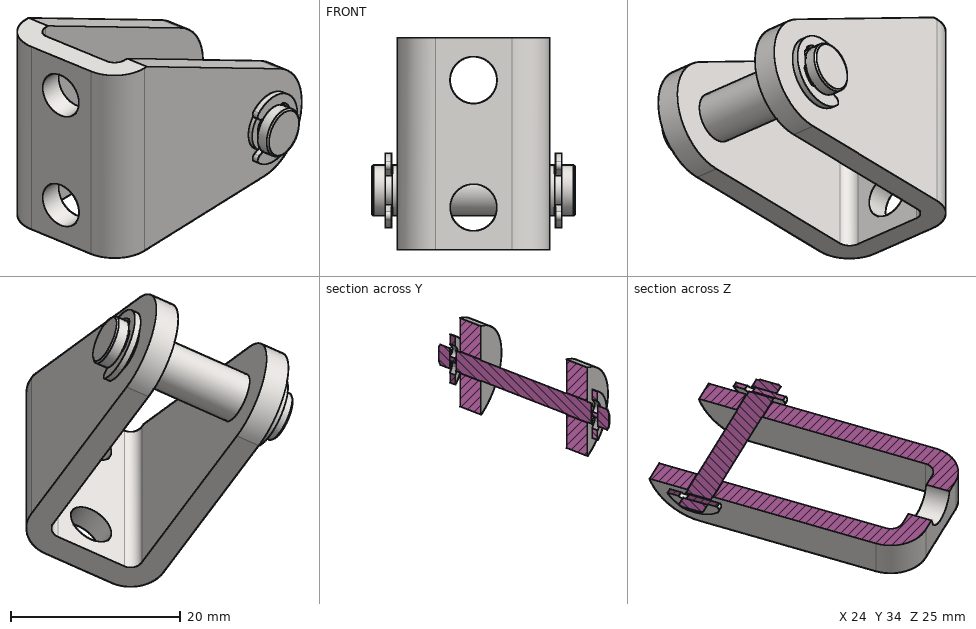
import cadquery as cq
import math

length = 34.0
width = 18.0
height = 25.0
wall = 3.0
inner_bend_radius = 1.5
outer_bend_radius = inner_bend_radius + wall
ear_radius = 7.0
flat_top_length = 5.0
web_hole_diameter = 5.5
web_hole_edge_distance = 5.0

pin_diameter = 6.0
pin_length = 24.0
pin_chamfer = 0.2
pin_y = length - ear_radius
pin_z = ear_radius
groove_diameter = 4.0
groove_width = 0.85
pin_end_land = 1.55
groove_outer_x = pin_length / 2 - pin_end_land

clip_thickness = 0.78
clip_outer_radius = 4.42
clip_inner_radius = groove_diameter / 2
relief_radius = 3.33
relief_start_angle = 8.0
relief_end_angle = 66.0
relief_corner_radius = 0.68
throat_start_angle = 59.0
throat_flank_angle = 25.0
tip_radius = 0.58


def polar(radius, angle_degrees):
    """Point at an angle measured from the local x axis."""
    angle = math.radians(angle_degrees)
    return radius * math.cos(angle), radius * math.sin(angle)


def channel():
    """U-shaped bent plate at its full height."""
    outer = (
        cq.Workplane("XY")
        .rect(width, 2 * length)
        .extrude(height)
        .translate((0, length, 0))
        .edges("|Z and <Y")
        .fillet(outer_bend_radius)
    )
    inner = (
        cq.Workplane("XY")
        .rect(width - 2 * wall, 2 * length)
        .extrude(height)
        .translate((0, length + wall, 0))
        .edges("|Z and <Y")
        .fillet(inner_bend_radius)
    )
    return outer.cut(inner)


def side_blank():
    """Side outline across the width, its sloping top tangent to the rounded ear."""
    run = pin_y - flat_top_length
    drop = height - pin_z
    slope = math.atan2(drop, run) - math.asin(ear_radius / math.hypot(run, drop))
    tangent_point = (pin_y + ear_radius * math.sin(slope), pin_z + ear_radius * math.cos(slope))
    return (
        cq.Workplane("YZ")
        .moveTo(0, 0)
        .lineTo(pin_y, 0)
        .threePointArc((length, pin_z), tangent_point)
        .lineTo(flat_top_length, height)
        .lineTo(0, height)
        .close()
        .extrude(width / 2, both=True)
    )


def make_bracket():
    pin_hole = (
        cq.Workplane("YZ").center(pin_y, pin_z).circle(pin_diameter / 2).extrude(width / 2, both=True)
    )
    hole_heights = (web_hole_edge_distance, height - web_hole_edge_distance)
    web_holes = (
        cq.Workplane("XZ")
        .pushPoints([(0, z) for z in hole_heights])
        .circle(web_hole_diameter / 2)
        .extrude(-wall)
    )
    return channel().intersect(side_blank()).cut(pin_hole).cut(web_holes)


def make_pin():
    pin = (
        cq.Workplane("YZ", origin=(-pin_length / 2, pin_y, pin_z))
        .circle(pin_diameter / 2)
        .extrude(pin_length)
        .faces("<X or >X")
        .chamfer(pin_chamfer)
    )
    for start_x in (-groove_outer_x, groove_outer_x - groove_width):
        groove = (
            cq.Workplane("YZ", origin=(start_x, pin_y, pin_z))
            .circle(pin_diameter / 2)
            .circle(groove_diameter / 2)
            .extrude(groove_width)
        )
        pin = pin.cut(groove)
    return pin


def clip_relief():
    """Pocket between the back tab and the upper arm of a clip."""
    middle_angle = (relief_start_angle + relief_end_angle) / 2
    sector = (
        cq.Workplane("YZ")
        .lineTo(*polar(relief_radius, relief_start_angle))
        .threePointArc(polar(relief_radius, middle_angle), polar(relief_radius, relief_end_angle))
        .close()
        .extrude(clip_thickness)
    )
    corners = sector.edges("|X").filter(lambda edge: edge.Center().toTuple()[1] > 0.35)
    return sector.newObject(corners.vals()).fillet(relief_corner_radius)


def clip_throat():
    """Flared opening between the tips of the two arms."""
    start_y, start_z = polar(clip_inner_radius, throat_start_angle)
    reach = clip_outer_radius
    end_y = start_y + reach
    end_z = start_z + reach * math.tan(math.radians(throat_flank_angle))
    return (
        cq.Workplane("YZ")
        .polyline([(0, 0), (-start_y, start_z), (-end_y, end_z), (-end_y, -end_z), (-start_y, -start_z)])
        .close()
        .extrude(clip_thickness)
    )


def make_clip(start_x):
    """E-shaped clip that extends in +X from the plane at start_x."""
    clip = (
        cq.Workplane("YZ")
        .circle(clip_outer_radius)
        .extrude(clip_thickness)
        .cut(clip_throat())
    )
    clip = clip.edges("|X and <Y").fillet(tip_radius)
    bore = cq.Workplane("YZ").circle(clip_inner_radius).extrude(clip_thickness)
    relief = clip_relief()
    clip = clip.cut(bore).cut(relief).cut(relief.mirror("XY"))
    return clip.translate((start_x, pin_y, pin_z))


bracket = make_bracket()
pin = make_pin()

clips = [make_clip(x) for x in (-groove_outer_x, groove_outer_x - clip_thickness)]

result = cq.Compound.makeCompound([bracket.val(), pin.val(), *[clip.val() for clip in clips]])